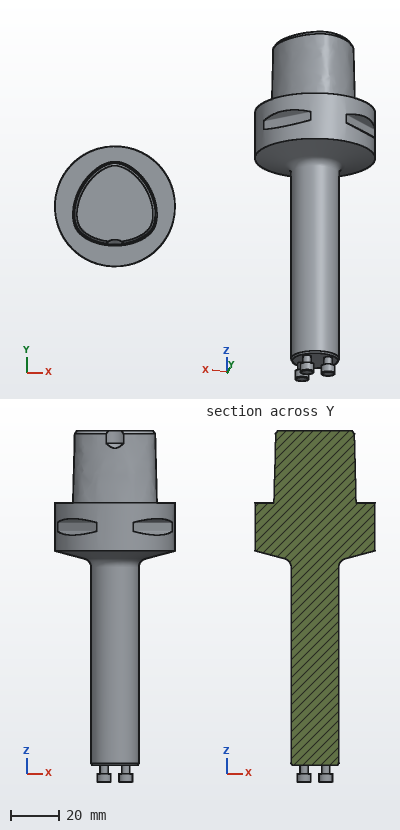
import cadquery as cq
import math


shank_height = 30.0
shank_mean_radius = 17.5
shank_lobe = 1.12
lobe_count = 3
shank_slope = 1 / 40
shank_chamfer_height = 1.4
shank_chamfer_width = 1.0
outline_points = 48

notch_radius = 4.8
notch_wall_y = -13.75
notch_shoulder_z = 24.7
notch_floor_angle = 45.0

flange_radius = 25.0
flange_height = 20.0
flange_cone_angle = 15.0
bar_radius = 10.0
bar_length = 109.0
bar_fillet = 3.4
bar_chamfer_width = 0.5
bar_chamfer_height = 0.9

slot_depth = 2.8
slot_floor_height = 3.6
slot_flank_angle = 30.0
slot_corner_radius = 0.4
slot_z = -flange_height / 2
slot_angles = (45, 135, 225, 315)

total_height = 146.01
screw_offset = 4.5
screw_shank_radius = 3.5 / 2
screw_head_radius = 5.7 / 2
screw_head_height = 3.5
screw_head_chamfer = 0.3
screw_places = ((-1, 1), (1, -1), (1, 1))


def lobed_wire(mean_radius, z):
    """Closed constant-width curve at height z, with one lobe pointing to +Y."""

    def point(t):
        angle = 2 * math.pi * t
        lobe_angle = lobe_count * (angle - math.pi / 2)
        reach = mean_radius + shank_lobe * math.cos(lobe_angle)
        slide = -lobe_count * shank_lobe * math.sin(lobe_angle)
        x = reach * math.cos(angle) - slide * math.sin(angle)
        y = reach * math.sin(angle) + slide * math.cos(angle)
        return cq.Vector(x, y, z)

    points = [point(i / outline_points) for i in range(outline_points)]
    return cq.Wire.assembleEdges([cq.Edge.makeSpline(points, periodic=True)])


def make_shank():
    chamfer_z = shank_height - shank_chamfer_height
    chamfer_radius = shank_mean_radius - chamfer_z * shank_slope
    base = lobed_wire(shank_mean_radius, 0)
    shoulder = lobed_wire(chamfer_radius, chamfer_z)
    top = lobed_wire(chamfer_radius - shank_chamfer_width, shank_height)
    taper = cq.Solid.makeLoft([base, shoulder], True)
    chamfer = cq.Solid.makeLoft([shoulder, top], True)
    return cq.Workplane(taper).union(cq.Workplane(chamfer))


def make_notch():
    """Vertical drill shape: a cylinder ending in a cone that points down."""
    tip_z = notch_shoulder_z - notch_radius * math.tan(math.radians(notch_floor_angle))
    profile = (
        cq.Workplane("XZ")
        .moveTo(0, tip_z)
        .lineTo(notch_radius, notch_shoulder_z)
        .lineTo(notch_radius, shank_height)
        .lineTo(0, shank_height)
        .close()
    )
    drill = profile.revolve(360, (0, 0, 0), (0, 1, 0))
    return drill.translate((0, notch_wall_y - notch_radius, 0))


def make_flange_and_bar():
    cone_slope = math.radians(flange_cone_angle)
    cone_end_z = -flange_height - (flange_radius - bar_radius) * math.tan(cone_slope)

    tangent = bar_fillet * math.tan((math.pi / 2 - cone_slope) / 2)
    center_r = bar_radius + bar_fillet
    center_z = cone_end_z - tangent
    cone_touch = (bar_radius + tangent * math.cos(cone_slope), cone_end_z + tangent * math.sin(cone_slope))
    middle_angle = math.pi - (math.pi / 2 - cone_slope) / 2
    arc_middle = (
        center_r + bar_fillet * math.cos(middle_angle),
        center_z + bar_fillet * math.sin(middle_angle),
    )
    return (
        cq.Workplane("XZ")
        .lineTo(flange_radius, 0)
        .lineTo(flange_radius, -flange_height)
        .lineTo(*cone_touch)
        .threePointArc(arc_middle, (bar_radius, center_z))
        .lineTo(bar_radius, -bar_length + bar_chamfer_height)
        .lineTo(bar_radius - bar_chamfer_width, -bar_length)
        .lineTo(0, -bar_length)
        .close()
        .revolve(360, (0, 0, 0), (0, 1, 0))
    )


def make_slot(angle):
    """Straight groove with sloping flanks and rounded floor corners, tangential to the flange."""
    floor_x = flange_radius - slot_depth
    floor_half = slot_floor_height / 2
    mouth_half = floor_half + slot_depth * math.tan(math.radians(slot_flank_angle))
    return (
        cq.Workplane("XZ")
        .moveTo(floor_x, slot_z - floor_half)
        .lineTo(flange_radius, slot_z - mouth_half)
        .lineTo(flange_radius, slot_z + mouth_half)
        .lineTo(floor_x, slot_z + floor_half)
        .close()
        .extrude(flange_radius, both=True)
        .faces("<X")
        .edges("|Y")
        .fillet(slot_corner_radius)
        .rotate((0, 0, 0), (0, 0, 1), angle)
    )


def make_screw(x, y):
    bottom_z = shank_height - total_height
    head = (
        cq.Workplane("XY")
        .workplane(offset=bottom_z)
        .circle(screw_head_radius)
        .extrude(screw_head_height)
        .faces("<Z")
        .chamfer(screw_head_chamfer)
    )
    shank = cq.Workplane("XY").workplane(offset=bottom_z).circle(screw_shank_radius)
    return head.union(shank.extrude(-bar_length - bottom_z)).translate((x, y, 0))


body = make_flange_and_bar()
for slot_angle in slot_angles:
    body = body.cut(make_slot(slot_angle))
body = body.union(make_shank().cut(make_notch()))
for side_x, side_y in screw_places:
    body = body.union(make_screw(side_x * screw_offset, side_y * screw_offset))

result = body